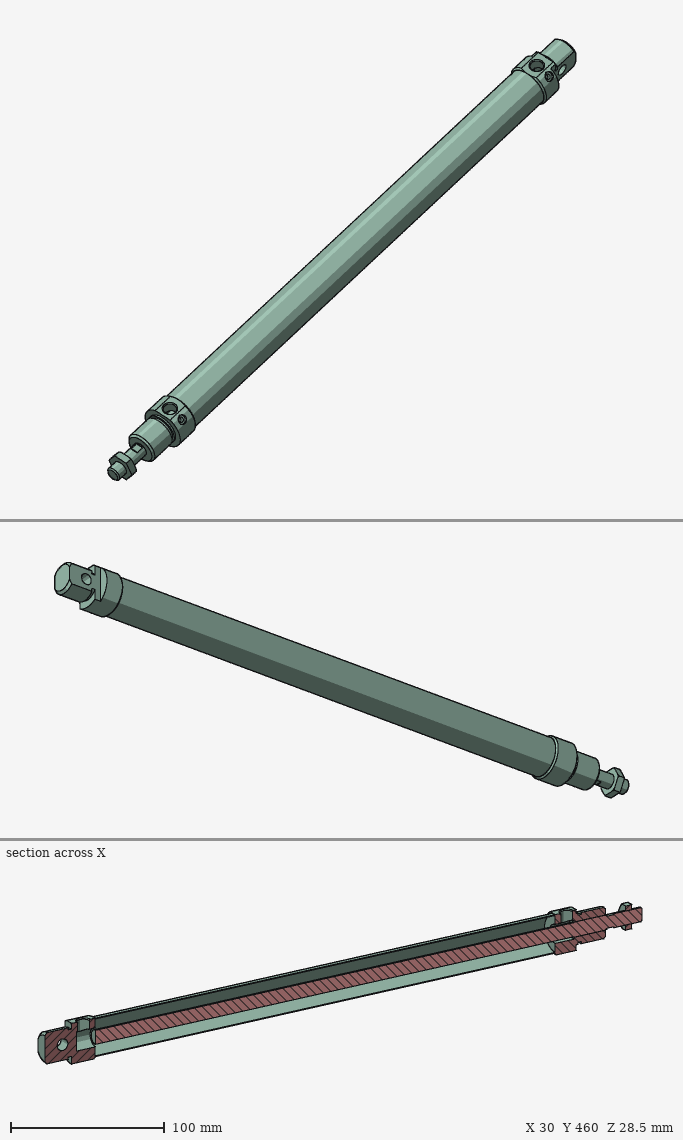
import cadquery as cq
import math

total_length = 460.0

barrel_diameter = 27.0
barrel_wall = 1.0
cap_diameter = 30.0
cap_flat_height = barrel_diameter / 2
cap_chamfer = 1.15
head_face_y = 50.5
head_length = 16.5
rear_cap_face_y = total_length - 20.5
rear_cap_length = 18.5
barrel_start_y = head_face_y + head_length
barrel_end_y = rear_cap_face_y - rear_cap_length

collar_diameter = 22.0
head_collar_chamfer = 1.5
head_collar_y = 28.0
relief_diameter = 19.5
relief_width = 2.5
head_shoulder_length = 1.5

clevis_width = 16.0
clevis_chamfer = 2.0
clevis_flat_length = 25.5
pivot_diameter = 8.0
pivot_y = total_length - 14.0

chamber_diameter = 13.0
chamber_margin = 1.0

port_diameter = 8.7
port_mouth_diameter = 10.0
head_port_y = 58.0
rear_port_y = total_length - 30.0
screw_angle = 45.0
screw_seat_diameter = 6.5
screw_seat_floor = 13.5
screw_hole_diameter = 3.5
screw_hole_floor = 10.5

rod_diameter = 10.0
rod_tip_chamfer = 1.0
wrench_width = 8.7
wrench_start_y = 21.5
wrench_length = 5.5
nut_across_flats = 17.0
nut_across_corners = nut_across_flats / math.cos(math.radians(30))
nut_thickness = 5.0
nut_start_y = 8.0
nut_chamfer = 0.7


def plane_across_y(y):
    """Work plane square to the Y axis, extruding toward +Y."""
    return cq.Plane(origin=(0, y, 0), xDir=(1, 0, 0), normal=(0, 1, 0))


def cylinder_along_y(diameter, start_y, end_y):
    """Solid cylinder on the Y axis."""
    return cq.Workplane(plane_across_y(start_y)).circle(diameter / 2).extrude(end_y - start_y)


def cap_blank(start_y, length, barrel_side):
    """Cap disc with a flat on top for the port, chamfered on the face that barrel_side selects."""
    disc = cylinder_along_y(cap_diameter, start_y, start_y + length)
    disc = disc.faces(barrel_side).chamfer(cap_chamfer)
    above_flat = (
        cq.Workplane("XY", origin=(0, start_y + length / 2, cap_flat_height))
        .rect(cap_diameter, length)
        .extrude(cap_diameter)
    )
    return disc.cut(above_flat)


def port_hole(port_y):
    """Port that opens into the cap's chamber, with a 45 degree countersunk mouth."""
    port = cq.Workplane("XY", origin=(0, port_y, 0)).circle(port_diameter / 2).extrude(cap_flat_height)
    mouth_depth = (port_mouth_diameter - port_diameter) / 2
    mouth = (
        cq.Workplane("XY", origin=(0, port_y, cap_flat_height))
        .circle(port_mouth_diameter / 2)
        .extrude(-mouth_depth, taper=45)
    )
    return port.union(mouth)


def screw_recess(port_y):
    """Stepped blind hole of the cushion screw, turned away from the port."""
    seat = (
        cq.Workplane("XY", origin=(0, port_y, screw_seat_floor))
        .circle(screw_seat_diameter / 2)
        .extrude(cap_diameter / 2)
    )
    hole = (
        cq.Workplane("XY", origin=(0, port_y, screw_hole_floor))
        .circle(screw_hole_diameter / 2)
        .extrude(cap_diameter / 2)
    )
    return seat.union(hole).rotate((0, 0, 0), (0, 1, 0), screw_angle)


def make_barrel():
    """Plain tube between the two caps."""
    tube = cylinder_along_y(barrel_diameter, barrel_start_y, barrel_end_y)
    return tube.cut(cylinder_along_y(barrel_diameter - 2 * barrel_wall, barrel_start_y, barrel_end_y))


def make_head():
    """Front cap with its collar, bored through for the rod."""
    shoulder_y = head_face_y - head_shoulder_length
    collar_end_y = shoulder_y - relief_width
    collar = cylinder_along_y(collar_diameter, head_collar_y, collar_end_y)
    collar = collar.faces("<Y").chamfer(head_collar_chamfer)
    relief = cylinder_along_y(relief_diameter, collar_end_y, shoulder_y)
    shoulder = cylinder_along_y(collar_diameter, shoulder_y, head_face_y)
    body = cap_blank(head_face_y, head_length, ">Y").union(shoulder).union(relief).union(collar)

    bore = cylinder_along_y(rod_diameter, head_collar_y, barrel_start_y)
    chamber_y = head_port_y - port_diameter / 2 - chamber_margin
    chamber = cylinder_along_y(chamber_diameter, chamber_y, barrel_start_y)
    return body.cut(bore).cut(chamber).cut(port_hole(head_port_y)).cut(screw_recess(head_port_y))


def make_rear_cap():
    """Rear cap with its flattened clevis and pivot hole."""
    collar_y = rear_cap_face_y + relief_width
    relief = cylinder_along_y(relief_diameter, rear_cap_face_y, collar_y)
    collar = cylinder_along_y(collar_diameter, collar_y, total_length).faces(">Y").chamfer(clevis_chamfer)
    body = cap_blank(barrel_end_y, rear_cap_length, "<Y").union(relief).union(collar)

    for side in (-1, 1):
        beside_clevis = (
            cq.Workplane("XY")
            .box(cap_diameter, clevis_flat_length, cap_diameter)
            .translate((side * (clevis_width + cap_diameter) / 2, total_length - clevis_flat_length / 2, 0))
        )
        body = body.cut(beside_clevis)

    pivot = (
        cq.Workplane("YZ", origin=(0, pivot_y, 0))
        .circle(pivot_diameter / 2)
        .extrude(clevis_width, both=True)
    )
    chamber_end_y = rear_port_y + port_diameter / 2 + chamber_margin
    chamber = cylinder_along_y(chamber_diameter, barrel_end_y, chamber_end_y)
    return body.cut(pivot).cut(chamber).cut(port_hole(rear_port_y)).cut(screw_recess(rear_port_y))


def make_rod():
    """Piston rod through the barrel, with wrench flats above and below."""
    rod = cylinder_along_y(rod_diameter, 0, barrel_end_y).faces("<Y").chamfer(rod_tip_chamfer)
    for side in (-1, 1):
        beyond_flat = (
            cq.Workplane("XY")
            .box(rod_diameter, wrench_length, rod_diameter)
            .translate((0, wrench_start_y + wrench_length / 2, side * (wrench_width + rod_diameter) / 2))
        )
        rod = rod.cut(beyond_flat)
    return rod


def make_nut():
    """Hexagonal rod nut with flats above and below and its inner corners chamfered."""
    end_y = nut_start_y + nut_thickness
    hexagon = (
        cq.Workplane(plane_across_y(nut_start_y)).polygon(6, nut_across_corners).extrude(nut_thickness)
    )
    envelope = cylinder_along_y(nut_across_corners, nut_start_y, end_y).faces(">Y").chamfer(nut_chamfer)
    return hexagon.intersect(envelope).cut(cylinder_along_y(rod_diameter, nut_start_y, end_y))


barrel = make_barrel()
head = make_head()
rear_cap = make_rear_cap()
rod = make_rod()
nut = make_nut()

result = cq.Compound.makeCompound([barrel.val(), head.val(), rear_cap.val(), rod.val(), nut.val()])